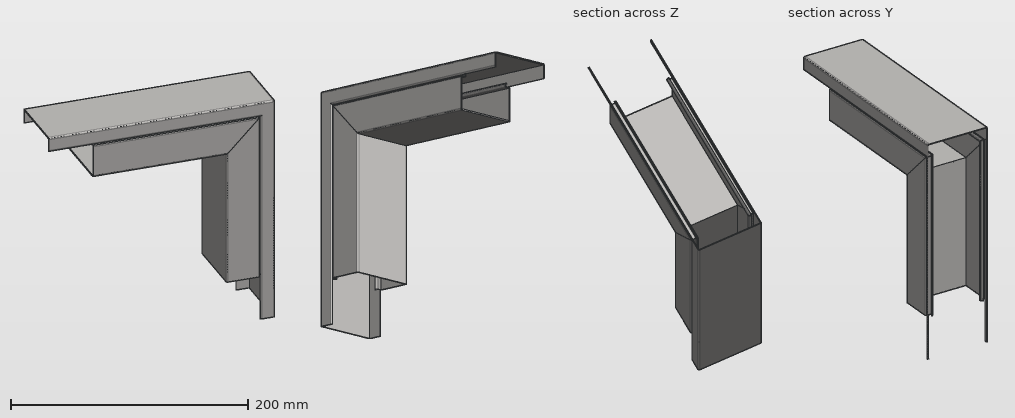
import cadquery as cq
import math

WIDTH = 60.0
LENGTH = 203.7
TRAY_SETBACK = 40.0

COVER_HEIGHT = 13.2
COVER_WALL = 1.2
COVER_RADIUS = 1.5

TRAY_HEIGHT = 30.1
TRAY_GAP = 0.5
TRAY_WALL = 1.2
TRAY_RADIUS = 1.5
LEDGE_WIDTH = 6.3
HOOK_WALL = 0.8
HOOK_RADIUS = 1.6
HOOK_LENGTH = 1.6
HOOK_TURN = 135

HALF_WIDTH = WIDTH / 2
COVER_RIM = LENGTH - COVER_HEIGHT
TRAY_TOP = COVER_RIM - TRAY_GAP
TRAY_BOTTOM = TRAY_TOP - TRAY_HEIGHT
BEND_START_X = HALF_WIDTH - LEDGE_WIDTH + HOOK_RADIUS
MITRE_NORMAL = cq.Vector(0, -1, 1)


def bar(width, start_y, bottom, top):
    """Rectangular bar along the horizontal leg, from start_y to the outer corner."""
    return (
        cq.Workplane("XY", origin=(0, start_y, bottom))
        .box(width, LENGTH - start_y, top - bottom, centered=(True, False, False))
    )


def mitred(leg):
    """Cut a horizontal leg at 45 degrees, along the plane where Y equals Z."""
    wedge = (
        cq.Workplane("YZ", origin=(-HALF_WIDTH, 0, 0))
        .lineTo(LENGTH, LENGTH)
        .lineTo(0, LENGTH)
        .close()
        .extrude(WIDTH)
    )
    return leg.intersect(wedge)


def make_cover():
    """Two mitred channel legs joined into one L, rounded along its outer edges and flange rims."""
    outside = bar(WIDTH, 0, COVER_RIM, LENGTH).edges("|Y and <Z").fillet(COVER_RADIUS)
    hollow = bar(WIDTH - 2 * COVER_WALL, 0, COVER_RIM, LENGTH - COVER_WALL)
    leg = mitred(outside.cut(hollow))
    rounded_envelope = (
        bar(WIDTH, 0, 0, LENGTH)
        .edges("(|Y and >Z) or (|Z and >Y) or (>Y and >Z)")
        .fillet(COVER_RADIUS)
    )
    return leg.union(leg.mirror(MITRE_NORMAL)).intersect(rounded_envelope)


def make_hook(side):
    """Sloping hook that continues one ledge; side is -1 or +1 in X."""
    centre_z = TRAY_TOP - HOOK_WALL + HOOK_RADIUS
    inner_radius = HOOK_RADIUS - HOOK_WALL

    def bend_point(radius, turn, reach=0.0):
        """Point after turning by some degrees and then going straight on by reach."""
        angle = math.radians(turn)
        x = BEND_START_X - radius * math.sin(angle) - reach * math.cos(angle)
        z = centre_z - radius * math.cos(angle) + reach * math.sin(angle)
        return side * x, z

    return (
        cq.Workplane("XZ", origin=(0, TRAY_SETBACK, 0))
        .moveTo(*bend_point(HOOK_RADIUS, 0))
        .threePointArc(bend_point(HOOK_RADIUS, HOOK_TURN / 2), bend_point(HOOK_RADIUS, HOOK_TURN))
        .lineTo(*bend_point(HOOK_RADIUS, HOOK_TURN, HOOK_LENGTH))
        .lineTo(*bend_point(inner_radius, HOOK_TURN, HOOK_LENGTH))
        .lineTo(*bend_point(inner_radius, HOOK_TURN))
        .threePointArc(bend_point(inner_radius, HOOK_TURN / 2), bend_point(inner_radius, 0))
        .close()
        .extrude(TRAY_SETBACK - LENGTH)
    )


def make_tray():
    """Horizontal tray with a ledge and hook on each rim, mitred at the bend."""
    outside = bar(WIDTH, TRAY_SETBACK, TRAY_BOTTOM, TRAY_TOP).edges("|Y").fillet(TRAY_RADIUS)
    hollow = bar(WIDTH - 2 * TRAY_WALL, TRAY_SETBACK, TRAY_BOTTOM + TRAY_WALL, TRAY_TOP - HOOK_WALL)
    opening = bar(2 * BEND_START_X, TRAY_SETBACK, TRAY_TOP - HOOK_WALL, TRAY_TOP)
    tray = outside.cut(hollow).cut(opening)
    for side in (-1, 1):
        tray = tray.union(make_hook(side))
    return mitred(tray)


cover = make_cover()

trays = []
for is_vertical in (False, True):
    tray = make_tray()
    if is_vertical:
        tray = tray.mirror(MITRE_NORMAL)
    trays.append(tray)

result = cq.Compound.makeCompound([cover.solids().val(), *[tray.solids().val() for tray in trays]])